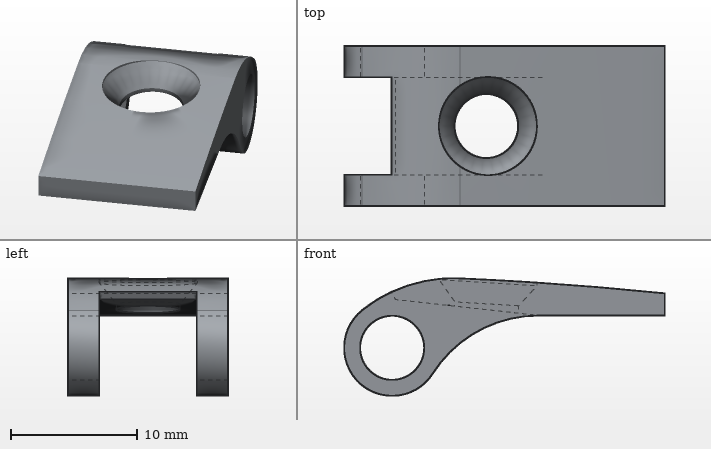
import cadquery as cq
import math

length = 25.47
width = 12.7

eye_radius = 3.82
pin_diameter = 5.07
slot_width = 7.72

tip_x = length - eye_radius
underside_z = 2.55
tip_thickness = 1.78
crown_radius = 11.56
crown_tangent_angle = 38.8
crown_end_angle = -2.5
throat_end_x = 11.6

slot_wall_angle = 28.0
relief_start_x = 0.25
relief_start_z = 3.85
relief_end_x = throat_end_x + 0.4

hole_x = 7.45
hole_lean = 3.5
hole_diameter = 5.07
head_diameter = 7.8
hole_land = 0.45
countersink_depth = 1.68


def on_circle(center, radius, angle):
    """Point (x, z) on a circle; the angle is in degrees from +X toward +Z."""
    turn = math.radians(angle)
    return (center[0] + radius * math.cos(turn), center[1] + radius * math.sin(turn))


def make_lever():
    """Extrude the side profile, made of tangent arcs around the hinge eye."""
    eye_center = (0.0, 0.0)

    crown_start_direction = 90 + crown_tangent_angle
    crown_end_direction = 90 + crown_end_angle
    crown_start = on_circle(eye_center, eye_radius, crown_start_direction)
    crown_center = on_circle(crown_start, crown_radius, crown_start_direction + 180)
    crown_middle_direction = (crown_start_direction + crown_end_direction) / 2
    crown_middle = on_circle(crown_center, crown_radius, crown_middle_direction)
    crown_end = on_circle(crown_center, crown_radius, crown_end_direction)

    tip_top = (tip_x, underside_z + tip_thickness)

    throat_radius = (throat_end_x**2 + underside_z**2 - eye_radius**2) / (2 * (eye_radius + underside_z))
    throat_center = (throat_end_x, underside_z - throat_radius)
    eye_direction = math.degrees(math.atan2(throat_center[1], throat_center[0]))
    throat_start = on_circle(eye_center, eye_radius, eye_direction)
    throat_start_direction = eye_direction + 180
    throat_middle = on_circle(throat_center, throat_radius, (throat_start_direction + 90) / 2)

    return (
        cq.Workplane("XZ")
        .moveTo(*crown_start)
        .threePointArc(crown_middle, crown_end)
        .tangentArcPoint(tip_top, relative=False)
        .lineTo(tip_x, underside_z)
        .lineTo(throat_end_x, underside_z)
        .threePointArc(throat_middle, throat_start)
        .threePointArc((-eye_radius, 0.0), crown_start)
        .close()
        .extrude(width / 2, both=True)
    )


def make_pin_bore():
    """Bore for the hinge pin, through both arms."""
    return cq.Workplane("XZ").circle(pin_diameter / 2).extrude(width, both=True)


def make_arm_slot():
    """Opening between the arms, with the sloping relief under the lever."""
    wall_rise = length - relief_start_z
    wall_top_x = relief_start_x - wall_rise * math.tan(math.radians(slot_wall_angle))
    return (
        cq.Workplane("XZ")
        .moveTo(-length, -length)
        .lineTo(-length, length)
        .lineTo(wall_top_x, length)
        .lineTo(relief_start_x, relief_start_z)
        .lineTo(relief_end_x, underside_z)
        .lineTo(relief_end_x, -length)
        .close()
        .extrude(slot_width / 2, both=True)
    )


def make_screw_hole():
    """Stepped cutter: straight hole, countersink cone and straight head clearance."""
    relief_slope = (relief_start_z - underside_z) / (relief_end_x - relief_start_x)
    axis_base_z = relief_start_z - relief_slope * (hole_x - relief_start_x)
    lean = math.radians(hole_lean)
    axis_plane = cq.Plane(
        origin=(hole_x, 0.0, axis_base_z),
        xDir=(math.cos(lean), 0.0, -math.sin(lean)),
        normal=(0.0, -1.0, 0.0),
    )
    hole_radius = hole_diameter / 2
    head_radius = head_diameter / 2
    cone_top = hole_land + countersink_depth
    return (
        cq.Workplane(axis_plane)
        .moveTo(0.0, -length)
        .lineTo(hole_radius, -length)
        .lineTo(hole_radius, hole_land)
        .lineTo(head_radius, cone_top)
        .lineTo(head_radius, length)
        .lineTo(0.0, length)
        .close()
        .revolve(360, (0, 0, 0), (0, 1, 0))
    )


result = make_lever().cut(make_pin_bore()).cut(make_arm_slot()).cut(make_screw_hole())